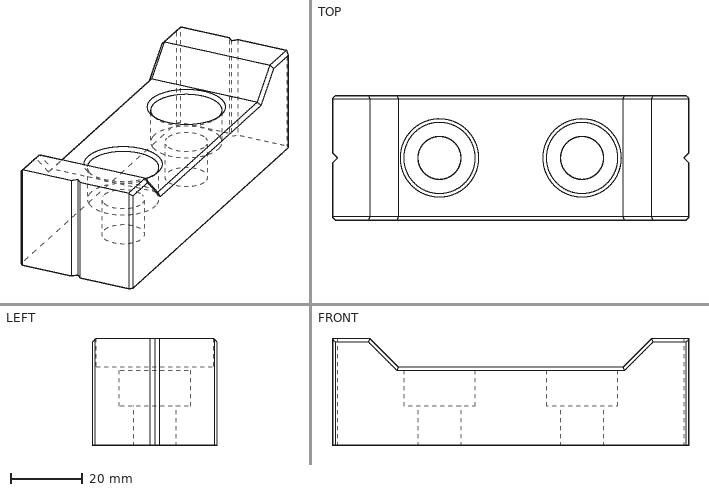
import cadquery as cq

length = 100.0
width = 35.0
height = 30.0
edge_chamfer = 1.0
corner_chamfer = 0.8

saddle_depth = 8.0
saddle_floor_length = 63.0
saddle_floor = height - saddle_depth
saddle_top_length = saddle_floor_length + 2 * saddle_depth

hole_spacing = 40.0
hole_diameter = 12.0
bore_diameter = 20.0
bore_depth = 11.0
bore_chamfer = 1.0

groove_depth = 1.4


def make_block():
    """Block with the saddle profile extruded along Y, centred on the Z axis."""
    profile = [
        (-length / 2, 0),
        (length / 2, 0),
        (length / 2, height),
        (saddle_top_length / 2, height),
        (saddle_floor_length / 2, saddle_floor),
        (-saddle_floor_length / 2, saddle_floor),
        (-saddle_top_length / 2, height),
        (-length / 2, height),
    ]
    return cq.Workplane("XZ").polyline(profile).close().extrude(width / 2, both=True)


def chamfer_block(block):
    """Bevel the upper outline of both long sides, then the vertical corners."""
    block = block.faces("<Y or >Y").edges("not(|Z or <Z)").chamfer(edge_chamfer)
    return block.edges("|Z").chamfer(corner_chamfer)


def cut_counterbored_holes(block):
    bore_floor = saddle_floor - bore_depth
    mouth_diameter = bore_diameter + 2 * bore_chamfer
    for x in (-hole_spacing / 2, hole_spacing / 2):
        hole = cq.Workplane("XY").center(x, 0).circle(hole_diameter / 2).extrude(saddle_floor)
        bore = (
            cq.Workplane("XY", origin=(x, 0, bore_floor))
            .circle(bore_diameter / 2)
            .extrude(bore_depth)
        )
        mouth = (
            cq.Workplane("XY", origin=(x, 0, saddle_floor))
            .circle(mouth_diameter / 2)
            .workplane(offset=-bore_chamfer)
            .circle(bore_diameter / 2)
            .loft()
        )
        block = block.cut(hole).cut(bore).cut(mouth)
    return block


def cut_end_grooves(block):
    for side in (-1, 1):
        end = side * length / 2
        groove = (
            cq.Workplane("XY")
            .polyline([(end, -groove_depth), (end - side * groove_depth, 0), (end, groove_depth)])
            .close()
            .extrude(height)
        )
        block = block.cut(groove)
    return block


result = cut_end_grooves(cut_counterbored_holes(chamfer_block(make_block())))